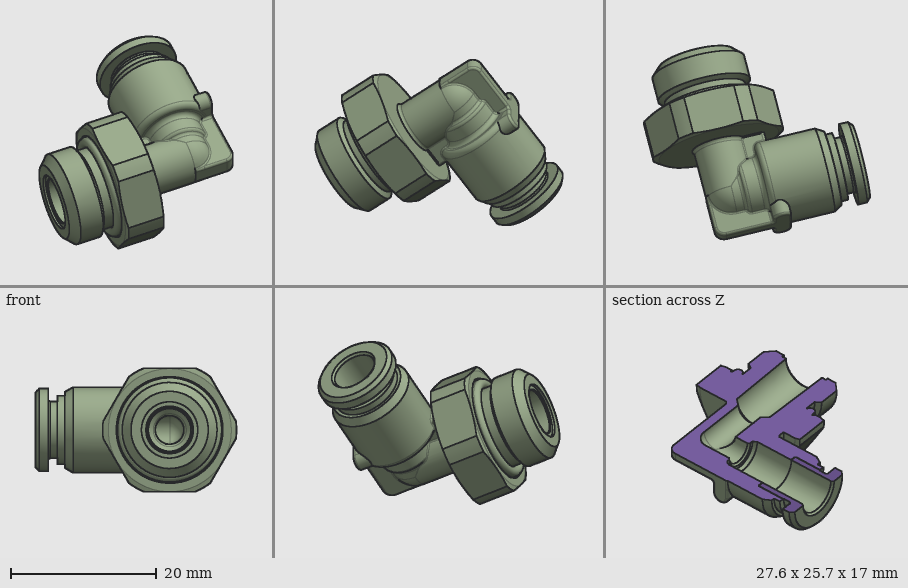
import cadquery as cq
import math


COLLET_FACE_X = -18.44
COLLET_FLANGE_R = 5.7
COLLET_FLANGE_END_X = -16.67
COLLET_CHAMFER = 0.55
COLLET_NECK_R = 3.92
NECK_FLARE_R = 4.04
NECK_FLARE_LENGTH = 0.28
COLLET_INNER_END_X = -11.05
TUBE_R = 3.07
TUBE_MOUTH_R = 3.35
TUBE_MOUTH_DEPTH = 0.35

LIP_FACE_X = -15.42
LIP_R = 4.73
PORT_FACE_X = -14.4
PORT_FACE_R = 5.22
PORT_R = 5.9
PORT_CHAMFER_END_X = -13.27
PORT_END_X = -4.53
PORT_END_ROUND = 0.83
WAIST_R = 4.04
WAIST_INNER_ROUND = 0.7
WAIST_END_X = -2.07
ELBOW_R = 3.5
ELBOW_NECK_X = -1.13
TUBE_STOP_X = -4.42
TUBE_STOP_R = 2.75
TUBE_STOP_TAPER = 0.55

PASSAGE_R = 1.95
PASSAGE_MOUTH_R = 2.27
PASSAGE_MOUTH_DEPTH = PASSAGE_MOUTH_R - PASSAGE_R

BACK_Y = 6.03
WEB_HALF_Z = 1.33
WEB_CORNER_R = 1.38
BACK_EDGE_ROUND = 0.35
BAR_LEFT_X = -7.1
BAR_ROUND = 1.27
BAR_HALF_Z = 4.48
WEB_BLEND_R = 0.28
LEG_BLEND_R = 0.2
BAR_BLEND_R = 0.35

HEX_TOP_Y = -6.95
HEX_BOTTOM_Y = -12.63
HEX_FLATS = 17.0
HEX_CORNER_R = 9.2
HEX_CHAMFER_R = 8.45
HEX_CHAMFER_HEIGHT = 0.22

RIB_LEFT_X = -6.47
RIB_HALF_Z = 1.5
RIB_CORNER_R = 0.45
RIB_FLARE = 0.17
RIB_FLARE_ANGLE = 45
RIB_BLEND_R = 0.22
FLARE_R = 0.64
FLARE_HEIGHT = 0.5

SEAL_RECESS_R = 7.32
SEAL_RECESS_DEPTH = 0.28
SEAL_R = 0.72
SEAL_DROP = 0.1
SEAL_MID_R = 6.45
STUD_NECK_END_Y = -14.6
THREAD_START_Y = -15.1
THREAD_R = 6.52
STUD_END_Y = -19.62
STUD_CHAMFER = 1.22
STUD_BORE_R = 3.15
STUD_BORE_END_Y = -8.3
STUD_BORE_END_R = 2.93
STUD_BORE_TAPER = 0.55
STUD_BORE_CHAMFER = 0.1
STUD_RECESS_R = 3.87
STUD_RECESS_DEPTH = 0.35

MARGIN = 0.03


def spin_about_x(profile):
    """Revolve a closed (x, radius) outline about the X axis."""
    return profile.close().revolve(360, (0, 0), (1, 0))


def spin_about_y(profile):
    """Revolve a closed (radius, y) outline about the Y axis."""
    return profile.close().revolve(360, (0, 0), (0, 1))


def make_collet():
    return spin_about_x(
        cq.Workplane("XY")
        .moveTo(COLLET_FACE_X, TUBE_MOUTH_R)
        .lineTo(COLLET_FACE_X, COLLET_FLANGE_R - COLLET_CHAMFER)
        .lineTo(COLLET_FACE_X + COLLET_CHAMFER, COLLET_FLANGE_R)
        .lineTo(COLLET_FLANGE_END_X, COLLET_FLANGE_R)
        .lineTo(COLLET_FLANGE_END_X, NECK_FLARE_R)
        .lineTo(COLLET_FLANGE_END_X + NECK_FLARE_LENGTH, COLLET_NECK_R)
        .lineTo(COLLET_INNER_END_X, COLLET_NECK_R)
        .lineTo(COLLET_INNER_END_X, TUBE_R)
        .lineTo(COLLET_FACE_X + TUBE_MOUTH_DEPTH, TUBE_R)
    )


def make_tube_port():
    """Solid of revolution along X, ending in the spherical elbow corner."""
    neck_middle = ((WAIST_END_X + ELBOW_NECK_X) / 2, (WAIST_R + ELBOW_R) / 2)
    port = spin_about_x(
        cq.Workplane("XY")
        .moveTo(LIP_FACE_X, 0)
        .lineTo(LIP_FACE_X, LIP_R)
        .lineTo(PORT_FACE_X, LIP_R)
        .lineTo(PORT_FACE_X, PORT_FACE_R)
        .lineTo(PORT_CHAMFER_END_X, PORT_R)
        .lineTo(PORT_END_X - PORT_END_ROUND, PORT_R)
        .radiusArc((PORT_END_X, PORT_R - PORT_END_ROUND), PORT_END_ROUND)
        .lineTo(PORT_END_X, WAIST_R + WAIST_INNER_ROUND)
        .radiusArc((PORT_END_X + WAIST_INNER_ROUND, WAIST_R), -WAIST_INNER_ROUND)
        .lineTo(WAIST_END_X, WAIST_R)
        .tangentArcPoint(neck_middle, relative=False)
        .tangentArcPoint((ELBOW_NECK_X, ELBOW_R), relative=False)
        .lineTo(0, ELBOW_R)
        .lineTo(0, 0)
    )
    return port.union(cq.Workplane("XY").sphere(ELBOW_R))


def make_elbow_leg():
    """Round leg along -Y with a flared foot on the hexagon."""
    foot_r = ELBOW_R + FLARE_R - math.sqrt(FLARE_R**2 - FLARE_HEIGHT**2)
    return spin_about_y(
        cq.Workplane("XY")
        .lineTo(ELBOW_R, 0)
        .lineTo(ELBOW_R, HEX_TOP_Y + FLARE_HEIGHT)
        .radiusArc((foot_r, HEX_TOP_Y), -FLARE_R)
        .lineTo(0, HEX_TOP_Y)
    )


def make_web_plate():
    """Flat plate filling the outer corner of the elbow, from the cross bar to the leg."""
    bar_mid_x = BAR_LEFT_X + BAR_ROUND
    return (
        cq.Workplane("XZ", origin=(0, BACK_Y, 0))
        .center((bar_mid_x + ELBOW_R) / 2, 0)
        .rect(ELBOW_R - bar_mid_x, 2 * WEB_HALF_Z)
        .extrude(BACK_Y)
        .edges(">X and >Y")
        .fillet(WEB_CORNER_R)
    )


def make_back_tee():
    """Web plate joined by concave rounds to a round-ended cross bar."""
    bar_mid_x = BAR_LEFT_X + BAR_ROUND
    bar_right_x = bar_mid_x + BAR_ROUND
    bar = (
        cq.Workplane("XZ", origin=(0, BACK_Y, 0))
        .center(bar_mid_x, 0)
        .slot2D(2 * BAR_HALF_Z, 2 * BAR_ROUND, 90)
        .extrude(BACK_Y)
    )
    inner_corners = cq.selectors.BoxSelector(
        (bar_right_x - MARGIN, -MARGIN, -WEB_HALF_Z - MARGIN),
        (bar_right_x + MARGIN, BACK_Y + MARGIN, WEB_HALF_Z + MARGIN),
    )
    return make_web_plate().union(bar).edges("|Y").edges(inner_corners).fillet(BAR_BLEND_R)


def make_elbow():
    """Port, leg and web blended together, with the back edges rounded."""
    elbow = make_tube_port().union(make_elbow_leg()).union(make_web_plate())

    for side in (-1, 1):
        z = side * WEB_HALF_Z
        web_foot = cq.selectors.BoxSelector(
            (PORT_END_X - MARGIN, MARGIN, z - MARGIN),
            (ELBOW_R - WEB_CORNER_R, PORT_R - PORT_END_ROUND, z + MARGIN),
        )
        elbow = elbow.edges(web_foot).fillet(WEB_BLEND_R)

    leg_joint = cq.selectors.BoxSelector(
        (-WAIST_R, -WAIST_R, -ELBOW_R), (ELBOW_NECK_X, ELBOW_NECK_X, ELBOW_R)
    )
    elbow = elbow.edges("%BSPLINE").edges(leg_joint).fillet(LEG_BLEND_R)

    return elbow.union(make_back_tee()).faces(">Y").edges().fillet(BACK_EDGE_ROUND)


def make_rib():
    """Short rib tying the tube port to the hexagon."""
    return (
        cq.Workplane("XZ")
        .center(RIB_LEFT_X / 2, 0)
        .rect(-RIB_LEFT_X, 2 * RIB_HALF_Z)
        .extrude(-HEX_TOP_Y)
        .edges("|Y and <X")
        .fillet(RIB_CORNER_R)
    )


def make_rib_foot():
    """Sloped foot along both sides of the rib, standing on the hexagon."""
    foot_length = -RIB_LEFT_X - RIB_CORNER_R
    return (
        cq.Workplane("ZX", origin=(0, HEX_TOP_Y, 0))
        .center(0, -foot_length / 2)
        .rect(2 * (RIB_HALF_Z + RIB_FLARE), foot_length)
        .extrude(RIB_FLARE, taper=RIB_FLARE_ANGLE)
    )


def make_ribbed_elbow():
    """Elbow with its rib, blended where the rib runs into the tube port."""
    rib_joint = cq.selectors.BoxSelector(
        (RIB_LEFT_X - MARGIN, -PORT_R, -RIB_HALF_Z - MARGIN),
        (-ELBOW_R + RIB_CORNER_R, -ELBOW_R, RIB_HALF_Z + MARGIN),
        boundingbox=True,
    )
    elbow = make_elbow().union(make_rib()).edges(rib_joint).fillet(RIB_BLEND_R)
    return elbow.union(make_rib_foot())


def make_hexagon():
    """Hexagon with flats at +Z and -Z, turned corners and chamfered faces."""
    hexagon = (
        cq.Workplane("XZ", origin=(0, HEX_TOP_Y, 0))
        .polygon(6, HEX_FLATS / math.cos(math.pi / 6))
        .extrude(HEX_TOP_Y - HEX_BOTTOM_Y)
    )
    turned = spin_about_y(
        cq.Workplane("XY")
        .moveTo(0, HEX_TOP_Y)
        .lineTo(HEX_CHAMFER_R, HEX_TOP_Y)
        .lineTo(HEX_CORNER_R, HEX_TOP_Y - HEX_CHAMFER_HEIGHT)
        .lineTo(HEX_CORNER_R, HEX_BOTTOM_Y + HEX_CHAMFER_HEIGHT)
        .lineTo(HEX_CHAMFER_R, HEX_BOTTOM_Y)
        .lineTo(0, HEX_BOTTOM_Y)
    )
    seal_recess = (
        cq.Workplane("XZ", origin=(0, HEX_BOTTOM_Y + SEAL_RECESS_DEPTH, 0))
        .circle(SEAL_RECESS_R)
        .extrude(SEAL_RECESS_DEPTH)
    )
    return hexagon.intersect(turned).cut(seal_recess)


def make_stud():
    """Threaded stud with the round sealing bead that sits in the hexagon recess."""
    recess_floor_y = HEX_BOTTOM_Y + SEAL_RECESS_DEPTH
    seal_y = HEX_BOTTOM_Y - SEAL_DROP
    neck_r = SEAL_MID_R - SEAL_R
    return spin_about_y(
        cq.Workplane("XY")
        .moveTo(0, recess_floor_y)
        .lineTo(SEAL_MID_R + SEAL_R, recess_floor_y)
        .lineTo(SEAL_MID_R + SEAL_R, seal_y)
        .threePointArc((SEAL_MID_R, seal_y - SEAL_R), (neck_r, seal_y))
        .lineTo(neck_r, STUD_NECK_END_Y)
        .lineTo(THREAD_R, THREAD_START_Y)
        .lineTo(THREAD_R, STUD_END_Y + STUD_CHAMFER)
        .lineTo(THREAD_R - STUD_CHAMFER, STUD_END_Y)
        .lineTo(0, STUD_END_Y)
    )


def make_tube_socket():
    """Cavity for the collet and the tube, leading into the flow passage."""
    return spin_about_x(
        cq.Workplane("XY")
        .moveTo(LIP_FACE_X, 0)
        .lineTo(LIP_FACE_X, COLLET_NECK_R)
        .lineTo(COLLET_INNER_END_X, COLLET_NECK_R)
        .lineTo(COLLET_INNER_END_X, TUBE_R)
        .lineTo(TUBE_STOP_X - TUBE_STOP_TAPER, TUBE_R)
        .lineTo(TUBE_STOP_X, TUBE_STOP_R)
        .lineTo(TUBE_STOP_X, PASSAGE_MOUTH_R)
        .lineTo(TUBE_STOP_X + PASSAGE_MOUTH_DEPTH, PASSAGE_R)
        .lineTo(0, PASSAGE_R)
        .lineTo(0, 0)
    )


def make_stud_bore():
    recess_floor_y = STUD_END_Y + STUD_RECESS_DEPTH
    return spin_about_y(
        cq.Workplane("XY")
        .moveTo(0, STUD_END_Y)
        .lineTo(STUD_RECESS_R, STUD_END_Y)
        .lineTo(STUD_RECESS_R, recess_floor_y)
        .lineTo(STUD_BORE_R + STUD_BORE_CHAMFER, recess_floor_y)
        .lineTo(STUD_BORE_R, recess_floor_y + STUD_BORE_CHAMFER)
        .lineTo(STUD_BORE_END_R, STUD_BORE_END_Y)
        .lineTo(PASSAGE_MOUTH_R, STUD_BORE_END_Y + STUD_BORE_TAPER)
        .lineTo(PASSAGE_R, STUD_BORE_END_Y + STUD_BORE_TAPER + PASSAGE_MOUTH_DEPTH)
        .lineTo(PASSAGE_R, 0)
        .lineTo(0, 0)
    )


def make_elbow_body():
    outer = make_ribbed_elbow().union(make_hexagon()).union(make_stud())
    passage_corner = cq.Workplane("XY").sphere(PASSAGE_R)
    return outer.cut(make_tube_socket()).cut(make_stud_bore()).cut(passage_corner)


collet = make_collet()
elbow_body = make_elbow_body()

result = cq.Compound.makeCompound([elbow_body.val(), collet.val()])